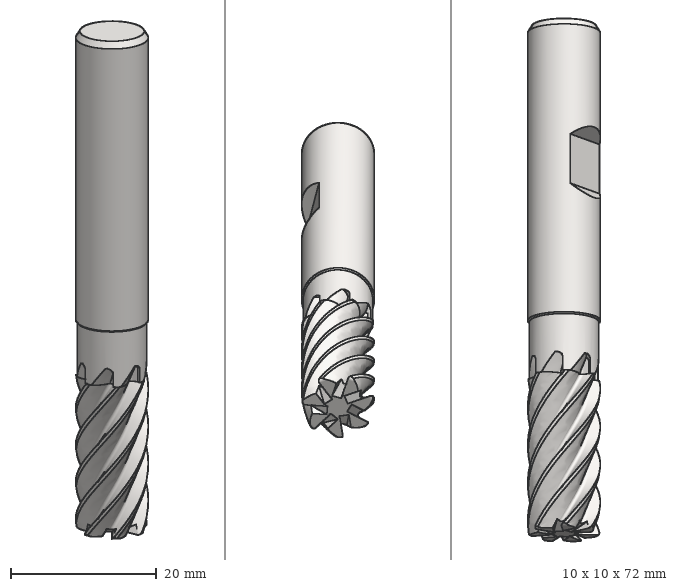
import cadquery as cq
import math

TOTAL_LENGTH = 72.0
SHANK_DIAMETER = 10.0
SHANK_RADIUS = SHANK_DIAMETER / 2
NECK_DIAMETER = 9.6
NECK_RADIUS = NECK_DIAMETER / 2
CUTTER_LENGTH = 22.0
SHOULDER_HEIGHT = 30.0
SHOULDER_CHAMFER = SHANK_RADIUS - NECK_RADIUS
CLEARANCE = 0.35

END_CHAMFER_RADIAL = 0.6
END_CHAMFER_HEIGHT = 0.9
FLAT_DEPTH = 1.5
FLAT_LENGTH = 7.0
FLAT_CENTRE_HEIGHT = 52.0

FLUTE_COUNT = 7
FLUTE_PITCH = 360 / FLUTE_COUNT
HELIX_ANGLE = 40.0
HELIX_LEAD = math.pi * SHANK_DIAMETER / math.tan(math.radians(HELIX_ANGLE))
EDGE_ANGLE_AT_TOP = -67.0

LAND_END_RADIUS = 4.9
LAND_END_ANGLE = 7.0
BACK_RADIUS = 4.2
BACK_ANGLE = 22.0
FLOOR_START_RADIUS = 3.45
FLOOR_START_ANGLE = 35.0
CORE_RADIUS = 3.25
CORE_ANGLE = 41.0
RAKE_ROOT_RADIUS = 3.6
RAKE_ROOT_ANGLE = 48.0

RUNOUT_HEIGHT = 2.7
RUNOUT_FOOT_OFFSET = 1.8
RUNOUT_UPRIGHT_OFFSET = 1.6
RUNOUT_SLANT_HEIGHT = 2.1
RUNOUT_SLANT_OFFSET = -0.15
RUNOUT_CREST_OFFSET = 0.8
RUNOUT_UPRIGHT_HEIGHT = 1.95
RUNOUT_LEAD_ANGLE = 23.0

CORNER_RADIUS = 0.5
GASH_HEIGHT = 1.9
GASH_FOOT_START = -1.3
GASH_ROOF_START = -0.3
GASH_ROOF_END = 0.9
GASH_INNER_RADIUS = 1.45


def polar(radius, angle):
    """Point at the given radius and angle in degrees."""
    return (radius * math.cos(math.radians(angle)), radius * math.sin(math.radians(angle)))


def helix_turn(height):
    """Angle in degrees that the flutes turn over the given height."""
    return 360 * height / HELIX_LEAD


def tooth_section(height, first_edge):
    """Toothed cross-section at a height, with one cutting edge at the given angle."""
    section = cq.Workplane("XY", origin=(0, 0, height)).moveTo(*polar(SHANK_RADIUS, first_edge))
    for tooth in range(FLUTE_COUNT):
        edge = first_edge + tooth * FLUTE_PITCH
        section = (
            section.lineTo(*polar(LAND_END_RADIUS, edge + LAND_END_ANGLE))
            .threePointArc(
                polar(BACK_RADIUS, edge + BACK_ANGLE),
                polar(FLOOR_START_RADIUS, edge + FLOOR_START_ANGLE),
            )
            .threePointArc(
                polar(CORE_RADIUS, edge + CORE_ANGLE),
                polar(RAKE_ROOT_RADIUS, edge + RAKE_ROOT_ANGLE),
            )
        )
        if tooth < FLUTE_COUNT - 1:
            section = section.lineTo(*polar(SHANK_RADIUS, edge + FLUTE_PITCH))
    return section.close()


def tangent_plane(radius, angle, height):
    """Plane facing outward at an angle around the axis; its x runs anticlockwise and its y runs up."""
    x, y = polar(radius, angle)
    tangent = (*polar(1, angle + 90), 0)
    outward = (*polar(1, angle), 0)
    return cq.Plane(origin=(x, y, height), xDir=tangent, normal=outward)


def end_gash(edge):
    """Notch ground into the end in front of a cutting edge, with a roof that rises outward."""
    outline = [
        (0, 0),
        (GASH_ROOF_END, GASH_HEIGHT),
        (GASH_ROOF_START, GASH_HEIGHT),
        (GASH_FOOT_START, 0),
    ]
    slot = cq.Workplane(tangent_plane(0, edge, 0)).polyline(outline).close().extrude(SHANK_RADIUS)
    ramp = (
        cq.Workplane("XZ")
        .polyline([(GASH_INNER_RADIUS, 0), (SHANK_RADIUS, GASH_HEIGHT), (SHANK_RADIUS, 0)])
        .close()
        .extrude(SHANK_RADIUS, both=True)
        .rotate((0, 0, 0), (0, 0, 1), edge)
    )
    return slot.intersect(ramp)


def corner_ring():
    """Ring outside the rounded corner of the end."""
    arc_centre = SHANK_RADIUS - CORNER_RADIUS
    arc_reach = CORNER_RADIUS * math.sqrt(0.5)
    return (
        cq.Workplane("XZ")
        .moveTo(arc_centre, 0)
        .threePointArc(
            (arc_centre + arc_reach, CORNER_RADIUS - arc_reach),
            (SHANK_RADIUS, CORNER_RADIUS),
        )
        .lineTo(SHANK_RADIUS + CLEARANCE, CORNER_RADIUS)
        .lineTo(SHANK_RADIUS + CLEARANCE, 0)
        .close()
        .revolve(360, (0, 0, 0), (0, 1, 0))
    )


def make_cutter():
    """Helically fluted cutting head with rounded end corners and an end gash at each tooth."""
    turn = helix_turn(CUTTER_LENGTH)
    edge_at_end = EDGE_ANGLE_AT_TOP - turn
    teeth = tooth_section(0, edge_at_end).twistExtrude(CUTTER_LENGTH, turn)
    cutter = teeth.cut(corner_ring())
    for tooth in range(FLUTE_COUNT):
        cutter = cutter.cut(end_gash(edge_at_end + tooth * FLUTE_PITCH))
    return cutter


def runout_window(angle):
    """Radial prism with one slanted side, one upright side and a rounded top."""
    return (
        cq.Workplane(tangent_plane(0, angle, CUTTER_LENGTH))
        .moveTo(-RUNOUT_FOOT_OFFSET, 0)
        .lineTo(RUNOUT_SLANT_OFFSET, RUNOUT_SLANT_HEIGHT)
        .threePointArc(
            (RUNOUT_CREST_OFFSET, RUNOUT_HEIGHT),
            (RUNOUT_UPRIGHT_OFFSET, RUNOUT_UPRIGHT_HEIGHT),
        )
        .lineTo(RUNOUT_UPRIGHT_OFFSET, 0)
        .close()
        .extrude(SHANK_RADIUS + CLEARANCE)
    )


def runouts():
    """Flute ends in the neck: helical on the tooth back, upright on the rake side, rounded on top."""
    ring = (
        cq.Workplane("XY", origin=(0, 0, CUTTER_LENGTH))
        .circle(SHANK_RADIUS + CLEARANCE)
        .extrude(RUNOUT_HEIGHT)
    )
    upright_teeth = tooth_section(CUTTER_LENGTH, EDGE_ANGLE_AT_TOP).extrude(RUNOUT_HEIGHT)
    helical_teeth = tooth_section(CUTTER_LENGTH, EDGE_ANGLE_AT_TOP).twistExtrude(
        RUNOUT_HEIGHT, helix_turn(RUNOUT_HEIGHT)
    )
    flute_ends = ring.cut(upright_teeth).cut(helical_teeth)
    return [
        flute_ends.intersect(
            runout_window(EDGE_ANGLE_AT_TOP - RUNOUT_LEAD_ANGLE + tooth * FLUTE_PITCH)
        )
        for tooth in range(FLUTE_COUNT)
    ]


def clamping_flat():
    """Flat with 45 degree ends across the +Y side of the shank."""
    floor = SHANK_RADIUS - FLAT_DEPTH
    half = FLAT_LENGTH / 2
    reach = FLAT_DEPTH + CLEARANCE
    return (
        cq.Workplane("YZ", origin=(0, floor, FLAT_CENTRE_HEIGHT))
        .polyline([(0, -half), (0, half), (reach, half + reach), (reach, -half - reach)])
        .close()
        .extrude(SHANK_RADIUS, both=True)
    )


def make_shank():
    """Chamfered shank with its clamping flat and a narrower neck that the flutes run into."""
    profile = [
        (0, CUTTER_LENGTH),
        (NECK_RADIUS, CUTTER_LENGTH),
        (NECK_RADIUS, SHOULDER_HEIGHT),
        (SHANK_RADIUS, SHOULDER_HEIGHT + SHOULDER_CHAMFER),
        (SHANK_RADIUS, TOTAL_LENGTH - END_CHAMFER_HEIGHT),
        (SHANK_RADIUS - END_CHAMFER_RADIAL, TOTAL_LENGTH),
        (0, TOTAL_LENGTH),
    ]
    body = cq.Workplane("XZ").polyline(profile).close().revolve(360, (0, 0, 0), (0, 1, 0))
    shank = body.cut(clamping_flat())
    for runout in runouts():
        shank = shank.cut(runout)
    return shank


cutter = make_cutter()
shank = make_shank()
result = cq.Compound.makeCompound([cutter.solids().val(), shank.solids().val()])